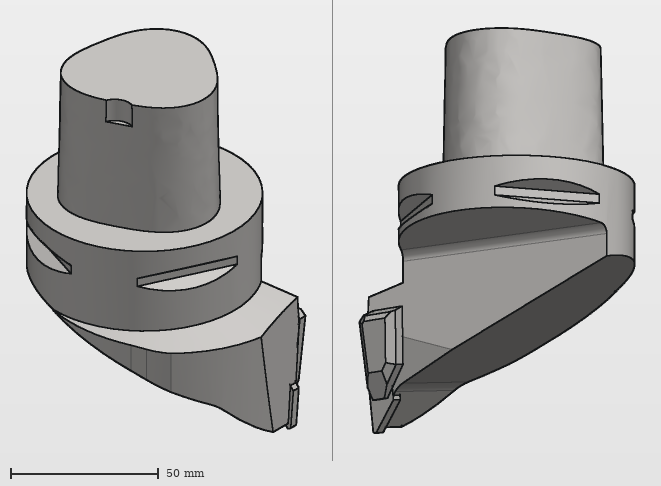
import cadquery as cq
import math


flange_d = 80.0
flange_r = flange_d / 2
flange_h = 31.1
groove_z = -12.2
groove_floor_r = 35.5
groove_floor_w = 3.1
groove_mouth_w = 8.5
groove_count = 4

shank_h = 48.0
shank_mean_r = 27.3
shank_lobe = 2.3
shank_top_ratio = 0.965
shank_points = 36
notch_r = 6.4
notch_y = -28.4
notch_depth = 8.3

head_min_y = -45.0
head_cone_angle = 15
head_bottom = -89.6
head_tail_x = -21.8
head_tail = (head_tail_x, -math.sqrt(flange_r**2 - head_tail_x**2))
head_flat_x = (12.3, 17.9)
head_tail_mid = (-3.3, -43.1)
head_corner_mid = (22.1, -44.7)
head_side_mid = (46.3, -27.1)
head_corner_end = (26.2, -43.6)
head_tip = (55.7, 8.5)
flank_top = (52.2, 8.0, -33.9)
flank_normal = (1.0, -0.07, 0.05)

relief_y = 8.5
relief_edge_z = -17.9
relief_root_z = -20.6
relief_fillet = 3.2

rake = cq.Plane(origin=(53.4, 0.1, -80.3), xDir=(1, -0.085, 0), normal=(-0.085, -1, 0.235))
reach = 115.2
knee = (-10.6, 14.7)
knee_fillet = 9.0
belly_slope = 0.4
nose_slope = 1.13
nose_overrun = 12.8

insert_tip = (1.7, -1.2)
insert_edge = 15.1
insert_t = 4.5
insert_nose_r = 0.8
insert_edge_angles = (92, 130)

clamp_inner_low = (-13.6, 21.8)
clamp_inner_high = -16.1
clamp_foot = -5.8
clamp_corner = 3.3
clamp_outer = -1.2
clamp_low = 11.3
clamp_high = 41.3
clamp_t = 7.0
clamp_chamfer = 2.5
clamp_ramp = [(2.0, clamp_low), (clamp_t, 20.2)]
clamp_back = [(clamp_t, 37.8), (5.6, 39.7)]


def lobed_section(z, ratio):
    """Closed three-lobed curve with one lobe toward +Y."""
    points = []
    for i in range(shank_points):
        a = 2 * math.pi * i / shank_points
        r = ratio * (shank_mean_r + shank_lobe * math.cos(3 * (a - math.pi / 2)))
        points.append(cq.Vector(r * math.cos(a), r * math.sin(a), z))
    return cq.Wire.assembleEdges([cq.Edge.makeSpline(points, periodic=True)])


def make_shank():
    sections = [lobed_section(0, 1), lobed_section(shank_h, shank_top_ratio)]
    shank = cq.Workplane(cq.Solid.makeLoft(sections))
    notch = (
        cq.Workplane("XY", origin=(0, notch_y, shank_h - notch_depth))
        .circle(notch_r)
        .extrude(notch_depth)
    )
    return shank.cut(notch)


def make_groove(angle):
    """Straight trapezoidal groove, tangent to the flange at the given angle."""
    depth = flange_r - groove_floor_r
    flare = (groove_mouth_w - groove_floor_w) / 2 / depth
    outer_r = flange_r + depth
    outer_half = groove_mouth_w / 2 + flare * depth
    floor_half = groove_floor_w / 2
    return (
        cq.Workplane("XZ")
        .polyline([
            (groove_floor_r, groove_z - floor_half),
            (outer_r, groove_z - outer_half),
            (outer_r, groove_z + outer_half),
            (groove_floor_r, groove_z + floor_half),
        ])
        .close()
        .extrude(flange_r, both=True)
        .rotate((0, 0, 0), (0, 0, 1), angle)
    )


def make_flange():
    flange = cq.Workplane("XY").circle(flange_r).extrude(-flange_h)
    step = 360 / groove_count
    for i in range(groove_count):
        flange = flange.cut(make_groove(step * (i + 0.5)))
    return flange


def half_space(origin, normal):
    """Large block on the side of a plane that its normal points to."""
    plane = cq.Plane(origin=origin, normal=normal)
    return cq.Workplane(plane).rect(2 * reach, 2 * reach).extrude(reach)


def make_head():
    height = -flange_h - head_bottom
    crescent = (
        cq.Workplane("XY", origin=(0, 0, head_bottom))
        .moveTo(*head_tail)
        .threePointArc(head_tail_mid, (head_flat_x[0], head_min_y))
        .lineTo(head_flat_x[1], head_min_y)
        .threePointArc(head_corner_mid, head_corner_end)
        .threePointArc(head_side_mid, head_tip)
        .lineTo(0, relief_y)
        .close()
        .extrude(height)
    )
    core = cq.Workplane("XY", origin=(0, 0, head_bottom)).circle(flange_r).extrude(height)
    cone_drop = (reach - flange_r) * math.tan(math.radians(head_cone_angle))
    cone = (
        cq.Workplane("XZ")
        .polyline([
            (0, -flange_h),
            (flange_r, -flange_h),
            (reach, -flange_h - cone_drop),
            (reach, head_bottom),
            (0, head_bottom),
        ])
        .close()
        .revolve(360, (0, 0, 0), (0, 1, 0))
    )
    head = crescent.union(core).intersect(cone)
    return head.cut(half_space(flank_top, flank_normal))


def make_relief():
    """Removes the chip side below the flange."""
    edge_slope = (relief_edge_z - relief_root_z) / (flange_r - relief_y)
    return (
        cq.Workplane("YZ")
        .polyline([
            (relief_y, relief_root_z),
            (reach, relief_root_z + edge_slope * (reach - relief_y)),
            (reach, -reach),
            (relief_y, -reach),
        ])
        .close()
        .extrude(reach, both=True)
        .edges(cq.selectors.NearestToPointSelector((0, relief_y, relief_root_z)))
        .fillet(relief_fillet)
    )


def make_underside():
    """Removes everything below the sloped belly and the steep nose."""
    nose_run = -knee[0] + nose_overrun
    return (
        cq.Workplane(rake)
        .polyline([
            (knee[0] - reach, knee[1] + belly_slope * reach),
            knee,
            (knee[0] + nose_run, knee[1] - nose_slope * nose_run),
            (knee[0] + nose_run, -reach),
            (knee[0] - reach, -reach),
        ])
        .close()
        .extrude(reach, both=True)
        .edges(cq.selectors.NearestToPointSelector(rake.toWorldCoords(knee).toTuple()))
        .fillet(knee_fillet)
    )


def make_clamp():
    plan = (
        cq.Workplane(rake)
        .polyline([
            (clamp_outer, clamp_low),
            (clamp_foot, clamp_low),
            clamp_inner_low,
            (clamp_inner_high, clamp_high),
            (clamp_outer - clamp_corner, clamp_high),
            (clamp_outer, clamp_high - clamp_corner),
        ])
        .close()
        .extrude(-clamp_t)
        .faces(cq.selectors.DirectionMinMaxSelector(-rake.zDir))
        .chamfer(clamp_chamfer)
    )
    side = cq.Plane(origin=rake.origin.toTuple(), xDir=-rake.zDir, normal=rake.xDir)
    profile = (
        cq.Workplane(side)
        .polyline([
            (0, clamp_low),
            *clamp_ramp,
            *clamp_back,
            (0, clamp_high),
        ])
        .close()
        .extrude(reach, both=True)
    )
    return plan.intersect(profile)


def make_insert():
    edges = [
        (insert_edge * math.cos(math.radians(a)), insert_edge * math.sin(math.radians(a)))
        for a in insert_edge_angles
    ]
    outer, lower = edges
    x, y = insert_tip
    return (
        cq.Workplane(rake)
        .polyline([
            (x, y),
            (x + outer[0], y + outer[1]),
            (x + outer[0] + lower[0], y + outer[1] + lower[1]),
            (x + lower[0], y + lower[1]),
        ])
        .close()
        .extrude(insert_t)
        .edges(cq.selectors.NearestToPointSelector(
            rake.toWorldCoords((x, y, insert_t / 2)).toTuple()))
        .fillet(insert_nose_r)
    )


def make_holder(insert):
    rake_side = half_space(rake.origin.toTuple(), (-rake.zDir).toTuple())
    head = make_head().cut(rake_side)
    holder = make_flange().union(head).cut(make_relief()).cut(make_underside())
    holder = holder.union(make_shank()).union(make_clamp())
    return holder.cut(insert)


insert = make_insert()
holder = make_holder(insert)
result = cq.Compound.makeCompound([*holder.vals(), insert.val()])